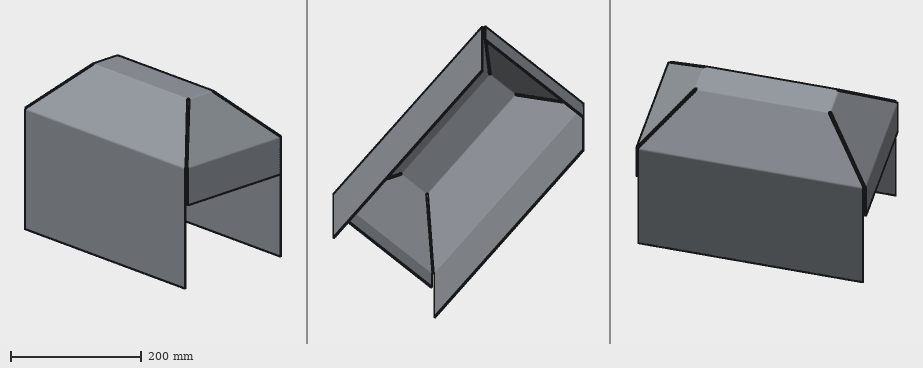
import cadquery as cq
import math

length = 364.0
width = 204.0
height = 272.0

thickness = 2.0
inner_radius = 2.5
outer_radius = inner_radius + thickness
slope_angle = 45.0

roof_inset = 75.0
end_wall_bottom = 136.5
corner_clearance = 4.0

half_length = length / 2
half_width = width / 2
angle = math.radians(slope_angle)
setback = outer_radius * math.tan(angle / 2)
eave_height = height - roof_inset * math.tan(angle)
slope_length = roof_inset / math.cos(angle) - 2 * setback
roof_half_length = half_length - roof_inset - setback
roof_half_width = half_width - roof_inset - setback


def polar(center, radius, degrees):
    """Point at an angle above the outward direction, in a wall's cross-section."""
    a = math.radians(degrees)
    return (center[0] + radius * math.cos(a), center[1] + radius * math.sin(a))


def bend(center, start, end, half_span):
    """Rounded strip of sheet between two angles, centred along Y."""
    middle = (start + end) / 2
    return (
        cq.Workplane("XZ")
        .moveTo(*polar(center, outer_radius, start))
        .threePointArc(polar(center, outer_radius, middle), polar(center, outer_radius, end))
        .lineTo(*polar(center, inner_radius, end))
        .threePointArc(polar(center, inner_radius, middle), polar(center, inner_radius, start))
        .close()
        .extrude(half_span, both=True)
    )


def folded_side(reach, bottom, wall_half_span, roof_half_span):
    """Wall, eave bend, sloping panel and roof bend on the +X side."""
    wall_top = eave_height - setback
    eave_center = (reach - outer_radius, wall_top)
    roof_center = (reach - roof_inset - setback, height - outer_radius)

    wall = cq.Workplane("XY").box(
        thickness, 2 * wall_half_span, wall_top - bottom, centered=(False, True, False)
    ).translate((reach - thickness, 0, bottom))
    eave_bend = bend(eave_center, 0, slope_angle, wall_half_span)
    roof_bend = bend(roof_center, slope_angle, 90, roof_half_span)

    foot = polar(eave_center, outer_radius, slope_angle)
    slope_plane = cq.Plane(
        origin=(foot[0], 0, foot[1]),
        xDir=(0, 1, 0),
        normal=(math.cos(angle), 0, math.sin(angle)),
    )
    slope = (
        cq.Workplane(slope_plane)
        .polyline([
            (-wall_half_span, 0),
            (wall_half_span, 0),
            (roof_half_span, slope_length),
            (-roof_half_span, slope_length),
        ])
        .close()
        .extrude(-thickness)
    )
    return wall.union(eave_bend).union(slope).union(roof_bend)


result = cq.Workplane("XY").box(
    2 * roof_half_length, 2 * roof_half_width, thickness, centered=(True, True, False)
).translate((0, 0, height - thickness))

end_side = folded_side(half_length, end_wall_bottom, half_width - corner_clearance, roof_half_width)
long_side = folded_side(half_width, 0, half_length - corner_clearance, roof_half_length)
for turn in (0, 180):
    result = result.union(end_side.rotate((0, 0, 0), (0, 0, 1), turn))
    result = result.union(long_side.rotate((0, 0, 0), (0, 0, 1), turn + 90))